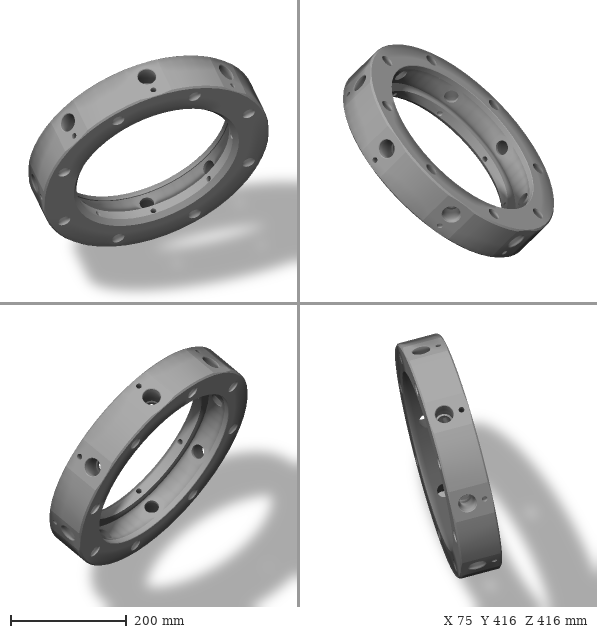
import cadquery as cq
import math

width = 75.0
across_flats = 416.0
outer_radius = 210.0
edge_chamfer = 3.0

bore_radius = 144.8
pocket_radius = 162.2
pocket_depth = 49.5
lip_radius = 160.0
lip_depth = 10.0
lip_chamfer = 1.0
bore_chamfer = 8.5

bolt_count = 8
bolt_circle_radius = 185.0
bolt_diameter = 23.0

flat_count = 8
port_x = 30.0
port_diameter = 25.0
port_socket_diameter = 31.5
port_socket_depth = 40.0
port_mouth_diameter = 33.5
small_port_x = 60.7
small_port_diameter = 10.0

flat_angle = 360 / flat_count
flat_radius = across_flats / 2
cut_margin = 4.0


def ring_body():
    """Chamfered ring with the stepped bore, revolved about the X axis."""
    profile = [
        (0, lip_radius + lip_chamfer),
        (lip_chamfer, lip_radius),
        (lip_depth, lip_radius),
        (lip_depth, pocket_radius),
        (pocket_depth, pocket_radius),
        (pocket_depth, bore_radius),
        (width - bore_chamfer, bore_radius),
        (width, bore_radius + bore_chamfer),
        (width, outer_radius - edge_chamfer),
        (width - edge_chamfer, outer_radius),
        (edge_chamfer, outer_radius),
        (0, outer_radius - edge_chamfer),
    ]
    return cq.Workplane("XY").polyline(profile).close().revolve(360, (0, 0, 0), (1, 0, 0))


def flats_envelope():
    """Octagonal prism that trims the rim to its flats."""
    corner_diameter = across_flats / math.cos(math.pi / flat_count)
    return (
        cq.Workplane("YZ")
        .transformed(rotate=(0, 0, flat_angle / 2))
        .polygon(flat_count, corner_diameter)
        .extrude(width)
    )


def bolt_holes():
    """Through holes, midway between the flats."""
    return (
        cq.Workplane("YZ")
        .polarArray(bolt_circle_radius, flat_angle / 2, 360, bolt_count)
        .circle(bolt_diameter / 2)
        .extrude(width)
    )


def port_cutter():
    """Stepped, countersunk port drilled down from the +Z flat."""
    inner_end = pocket_radius - cut_margin
    countersink = (port_mouth_diameter - port_socket_diameter) / 2
    profile = [
        (0, inner_end),
        (port_diameter / 2, inner_end),
        (port_diameter / 2, flat_radius - port_socket_depth),
        (port_socket_diameter / 2, flat_radius - port_socket_depth),
        (port_socket_diameter / 2, flat_radius - countersink),
        (port_mouth_diameter / 2, flat_radius),
        (0, flat_radius),
    ]
    cutter = cq.Workplane("XZ").polyline(profile).close().revolve(360, (0, 0, 0), (0, 1, 0))
    return cutter.translate((port_x, 0, 0))


def small_port_cutter():
    """Plain small hole from the +Z flat into the bore."""
    inner_end = bore_radius - cut_margin
    return (
        cq.Workplane("XY", origin=(small_port_x, 0, inner_end))
        .circle(small_port_diameter / 2)
        .extrude(flat_radius - inner_end)
    )


result = ring_body().intersect(flats_envelope()).cut(bolt_holes())
for index in range(flat_count):
    for cutter in (port_cutter(), small_port_cutter()):
        result = result.cut(cutter.rotate((0, 0, 0), (1, 0, 0), index * flat_angle))